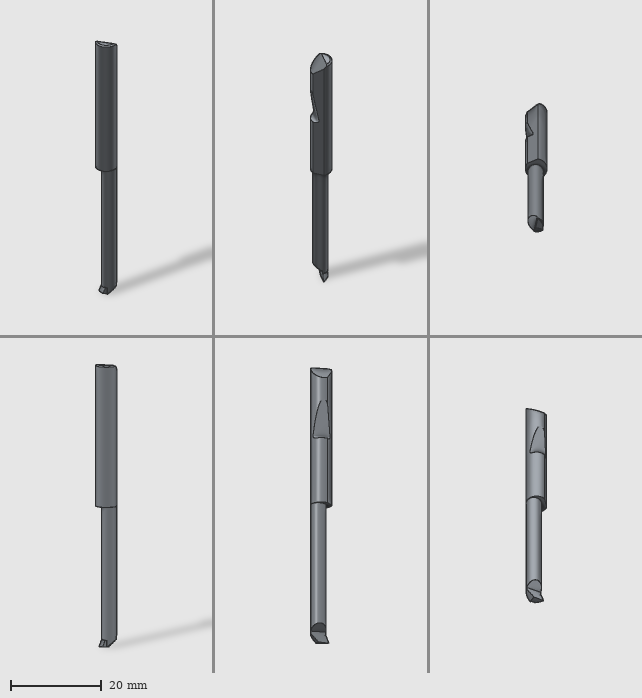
import cadquery as cq
import math


SHANK_RADIUS = 2.38125
SHANK_LENGTH = 31.75
END_CHAMFER_WIDTH = 0.42
END_CHAMFER_HEIGHT = 0.24
END_BEVEL_START_Y = -0.65
FLAT_DISTANCE = 2.02
FLAT_ANGLE = 144.5

NOTCH_START_DROP = 7.9
NOTCH_END_DROP = 16.9
NOTCH_DEPTH = 1.42
NOTCH_FILLET = 0.7

NECK_RADIUS = 1.71
NECK_LENGTH = 31.74
NECK_X = SHANK_RADIUS - NECK_RADIUS
TIP_Z = -NECK_LENGTH

RAKE_HEIGHT = 2.5
RAKE_RUNOUT_ANGLE = 42.0
TOOTH_HEIGHT = 1.8
LEDGE_Z = TIP_Z + TOOTH_HEIGHT
TOOTH_LEAN = 0.68
TOOTH_HEEL_X = 0.27
TOOTH_OUTER_Y = -1.52
FLANK_BULGE = 0.1
TIP_BEVEL_HEIGHT = 1.88
END_CLEARANCE_ANGLE = 6.0
END_CUTTING_ANGLE = 3.0

CUTTER_SIZE = 10.0


def prism_along_x(points):
    """Solid through the full width in X from an outline of (y, z) points."""
    return cq.Workplane("YZ").polyline(points).close().extrude(CUTTER_SIZE, both=True)


def make_shank():
    chamfer_base_z = SHANK_LENGTH - END_CHAMFER_HEIGHT
    profile = (
        cq.Workplane("XZ")
        .lineTo(SHANK_RADIUS, 0)
        .lineTo(SHANK_RADIUS, chamfer_base_z)
        .lineTo(SHANK_RADIUS - END_CHAMFER_WIDTH, SHANK_LENGTH)
        .lineTo(0, SHANK_LENGTH)
        .close()
    )
    return profile.revolve(360, (0, 0, 0), (0, 1, 0))


def side_flat_cutter():
    return (
        cq.Workplane("XY")
        .box(CUTTER_SIZE, CUTTER_SIZE, SHANK_LENGTH, centered=(False, True, False))
        .translate((FLAT_DISTANCE, 0, 0))
        .rotate((0, 0, 0), (0, 0, 1), FLAT_ANGLE)
    )


def end_bevel_cutter():
    return prism_along_x([
        (END_BEVEL_START_Y, SHANK_LENGTH),
        (END_BEVEL_START_Y + CUTTER_SIZE, SHANK_LENGTH - CUTTER_SIZE),
        (END_BEVEL_START_Y + CUTTER_SIZE, SHANK_LENGTH),
    ])


def notch_cutter():
    start_z = SHANK_LENGTH - NOTCH_START_DROP
    end_z = SHANK_LENGTH - NOTCH_END_DROP
    floor_y = SHANK_RADIUS - NOTCH_DEPTH
    wedge = prism_along_x([
        (SHANK_RADIUS, start_z),
        (floor_y, end_z),
        (SHANK_RADIUS, end_z),
    ])
    return wedge.edges("|X and <Y").fillet(NOTCH_FILLET)


def make_neck():
    return cq.Workplane("XY").center(NECK_X, 0).circle(NECK_RADIUS).extrude(-NECK_LENGTH)


def rake_cutter():
    rake_top_z = TIP_Z + RAKE_HEIGHT
    runout_rise = CUTTER_SIZE * math.tan(math.radians(RAKE_RUNOUT_ANGLE))
    return prism_along_x([
        (0, TIP_Z),
        (0, rake_top_z),
        (CUTTER_SIZE, rake_top_z + runout_rise),
        (CUTTER_SIZE, TIP_Z),
    ])


def tooth_space_cutter():
    """Clears the -X, -Y quarter of the neck below the ledge."""
    return (
        cq.Workplane("XY", origin=(NECK_X, 0, TIP_Z))
        .rect(-CUTTER_SIZE, -CUTTER_SIZE, centered=False)
        .extrude(TOOTH_HEIGHT)
    )


def make_tooth():
    """Leaning prism with its cutting edge on Y = 0."""
    cutting_edge = cq.Vector(NECK_X - NECK_RADIUS, 0, LEDGE_Z)
    heel = cq.Vector(TOOTH_HEEL_X, TOOTH_OUTER_Y, LEDGE_Z)
    back_x = NECK_X + TOOTH_LEAN
    outer_back = cq.Vector(back_x, TOOTH_OUTER_Y, LEDGE_Z)
    rake_back = cq.Vector(back_x, 0, LEDGE_Z)

    chord = heel - cutting_edge
    outward = chord.cross(cq.Vector(0, 0, 1)).normalized() * FLANK_BULGE
    flank_middle = cutting_edge + chord * 0.5 + outward
    flank = cq.Edge.makeThreePointArc(cutting_edge, flank_middle, heel)
    back = cq.Wire.makePolygon([heel, outer_back, rake_back, cutting_edge])
    outline = cq.Wire.assembleEdges([flank] + back.Edges())
    lean = cq.Vector(-TOOTH_LEAN, 0, -TOOTH_HEIGHT)
    leaning_prism = cq.Workplane(cq.Solid.extrudeLinear(outline, [], lean))
    return leaning_prism.intersect(tooth_space_cutter())


def tip_bevel_cutter():
    bevel_top_z = TIP_Z + TIP_BEVEL_HEIGHT
    return (
        cq.Workplane("XZ")
        .polyline([
            (SHANK_RADIUS, bevel_top_z),
            (SHANK_RADIUS - TIP_BEVEL_HEIGHT, TIP_Z),
            (SHANK_RADIUS, TIP_Z),
        ])
        .close()
        .extrude(CUTTER_SIZE, both=True)
    )


def end_clearance_cutter():
    """Half-space under the tip, tilted about the cutting corner."""
    corner_x = NECK_X - NECK_RADIUS - TOOTH_LEAN
    return (
        cq.Workplane("XY")
        .box(CUTTER_SIZE, CUTTER_SIZE, CUTTER_SIZE, centered=(True, True, False))
        .translate((0, 0, -CUTTER_SIZE))
        .rotate((0, 0, 0), (1, 0, 0), -END_CLEARANCE_ANGLE)
        .rotate((0, 0, 0), (0, 1, 0), -END_CUTTING_ANGLE)
        .translate((corner_x, 0, TIP_Z))
    )


shank = make_shank().cut(side_flat_cutter()).cut(end_bevel_cutter()).cut(notch_cutter())
neck = make_neck().cut(rake_cutter()).cut(tooth_space_cutter()).cut(tip_bevel_cutter())
result = shank.union(neck).union(make_tooth()).cut(end_clearance_cutter())